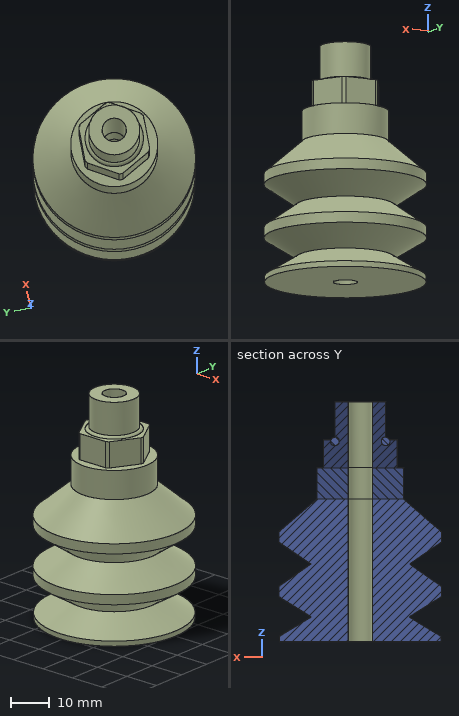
import cadquery as cq
import math


BORE_RADIUS = 3.1

FOLD_RADIUS = 21.1
LIP_RADIUS = 20.95
UPPER_NECK_RADIUS = 12.9
LOWER_NECK_RADIUS = 12.75
LIP_TOP = 1.5
LOWER_NECK_Z = 6.45
LOWER_FOLD_BOTTOM = 11.65
LOWER_FOLD_TOP = 14.4
UPPER_NECK_Z = 20.15
UPPER_FOLD_BOTTOM = 25.75
UPPER_FOLD_TOP = 28.55
CUP_TOP = 37.0

COLLAR_RADIUS = 11.25
COLLAR_TOP = 45.1

HEX_ACROSS_FLATS = 17.05
HEX_CORNER_RADIUS = 9.6
HEX_TOP = 52.4
STEM_RADIUS = 6.6
STEM_TOP = 62.2

RING_SECTION_RADIUS = 1.05
RING_CENTER_RADIUS = STEM_RADIUS
RING_DEPTH = 0.45
RING_Z = HEX_TOP - RING_DEPTH


def cylinder(radius, bottom, top):
    """Vertical cylinder on the Z axis between two heights."""
    return cq.Workplane("XY").workplane(offset=bottom).circle(radius).extrude(top - bottom)


def drill_bore(body):
    """Cut the central air passage through a body."""
    return body.cut(cylinder(BORE_RADIUS, 0, STEM_TOP))


def make_cup():
    """Bellows revolved from a zigzag profile of (radius, height) points."""
    profile = [
        (0, 0),
        (LIP_RADIUS, 0),
        (LIP_RADIUS, LIP_TOP),
        (LOWER_NECK_RADIUS, LOWER_NECK_Z),
        (FOLD_RADIUS, LOWER_FOLD_BOTTOM),
        (FOLD_RADIUS, LOWER_FOLD_TOP),
        (UPPER_NECK_RADIUS, UPPER_NECK_Z),
        (FOLD_RADIUS, UPPER_FOLD_BOTTOM),
        (FOLD_RADIUS, UPPER_FOLD_TOP),
        (COLLAR_RADIUS, CUP_TOP),
        (0, CUP_TOP),
    ]
    bellows = cq.Workplane("XZ").polyline(profile).close().revolve(360, (0, 0), (0, 1))
    return drill_bore(bellows)


def make_collar():
    """Plain ring seated on top of the cup."""
    return drill_bore(cylinder(COLLAR_RADIUS, CUP_TOP, COLLAR_TOP))


def make_sealing_ring():
    """Ring of circular section around the foot of the stem."""
    section = cq.Workplane("XZ").center(RING_CENTER_RADIUS, RING_Z).circle(RING_SECTION_RADIUS)
    return section.revolve(360, (-RING_CENTER_RADIUS, 0), (-RING_CENTER_RADIUS, 1))


def make_fitting(sealing_ring):
    """Hexagon with trimmed corners and a stem, grooved to seat the sealing ring."""
    across_corners = HEX_ACROSS_FLATS / math.cos(math.pi / 6)
    hexagon = (
        cq.Workplane("XY")
        .workplane(offset=COLLAR_TOP)
        .polygon(6, across_corners)
        .extrude(HEX_TOP - COLLAR_TOP)
        .intersect(cylinder(HEX_CORNER_RADIUS, COLLAR_TOP, HEX_TOP))
    )
    stem = cylinder(STEM_RADIUS, COLLAR_TOP, STEM_TOP)
    return drill_bore(hexagon.union(stem)).cut(sealing_ring)


cup = make_cup()
collar = make_collar()
sealing_ring = make_sealing_ring()
fitting = make_fitting(sealing_ring)

bodies = [cup, collar, fitting, sealing_ring]
result = cq.Compound.makeCompound([body.solids().val() for body in bodies])